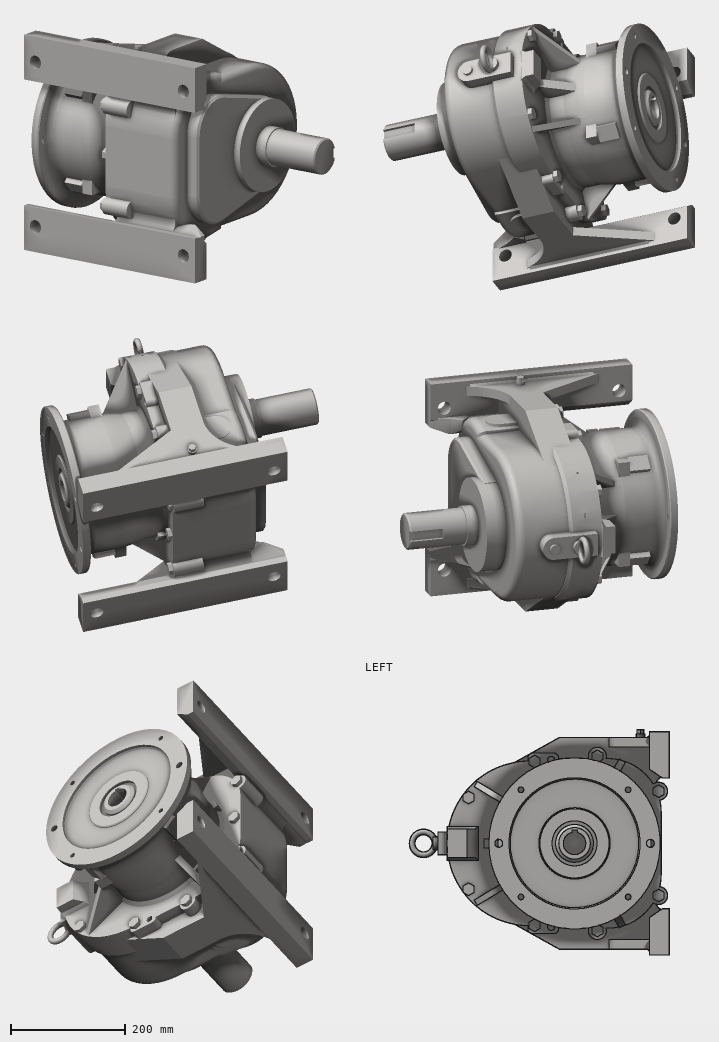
import cadquery as cq
import math


total_length = 480.0
total_height = 454.5
foot_length, foot_height = 369.5, 34.5
foot_inner, foot_outer = 114.0, 195.5
foot_bevel_z, foot_bevel_y = 129.5, 12.0
foot_hole_dia, foot_hole_z = 24.0, 149.5
foot_hole_xs = (24.5, 344.5)

motor_axis_y = 165.5
output_axis_y = 235.0
case_axis_y = 244.5

flange_x0, flange_x1 = 4.5, 18.5
flange_radius, flange_edge = 150.0, 2.0
flange_bolt_radius = 132.5
flange_hole_dia, tapped_hole_dia, tapped_hole_depth = 14.0, 10.0, 11.5
spigot_dia, spigot_floor_x, spigot_edge = 229.5, 12.5, 2.5
seat_dia, seat_x, seat_edge = 125.0, 9.0, 2.0
groove_dia, groove_depth = 78.5, 2.5
input_hub_dia, input_hub_face_dia, input_hub_x = 66.0, 55.0, 6.0
bore_dia, bore_end_x = 39.5, 53.0
drum_radius, drum_x1 = 119.0, 90.5
drum_flare = 14.5
neck_radius, neck_x0, neck_flare = 112.0, 132.0, 6.0
neck_pad_x0, neck_pad_radius = 150.0, 119.5
neck_pad_angles = (19, 63)
drum_pad_x = 76.0

plate_x, rim_x1 = 165.5, 219.5
case_x1, bump_x1 = 319.0, 343.0
rim_radius, rim_edge, case_radius = 144.0, 6.0, 137.0
case_end_fillet = 14.0
sole_y, corner_y, corner_z = 14.0, 108.0, 54.0
corner_radius = corner_y - sole_y
lower_half_width = corner_z + corner_radius
case_shoulder_y = 155.5
side_draft = 9.0
bump_top_y, bump_inset, bump_draft, bump_edge = 256.0, 32.5, 13.5, 4.0

web_x0, web_x1 = 186.0, 246.0
web_half_width, web_shoulder_y = 185.5, 192.0
web_slope = 29.2
web_top_y = 311.0
flare_thickness, flare_top_y = 17.0, 105.5

hex_flats, hex_height = 19.0, 7.5
bolt_boss_radius = 16.0
lower_bolt = (18.5, 91.0)
side_bolt = (126.0, 152.0)
joint_bolt = (235.0, 143.0)
upper_bolt = (351.0, 80.0)
centre_bolt = (24.0, 0.0)

hub_radius, hub_x1 = 83.0, 355.5
collar_dia, collar_x1 = 70.0, 376.0
shaft_dia, shaft_chamfer = 65.0, 2.5
key_x0, key_width, key_depth = 419.0, 18.0, 7.0

saddle_x0, saddle_x1, saddle_top, saddle_half = 179.5, 279.5, 404.5, 20.0
eye_x, eye_wire, eye_collar_dia, eye_collar_top = 213.0, 10.0, 24.0, 413.5
eye_outer_radius = 25.0
plug_x, plug_y, plug_top = 210.0, 50.5, 198.5


def extrude_x(outline, x0, x1):
    """Extrude a YZ outline from x0 to x1."""
    return outline.extrude(x1 - x0).translate((x0, 0, 0))


def rod_x(y, z, radius, x0, x1):
    """Round bar along X."""
    return extrude_x(cq.Workplane("YZ").center(y, z).circle(radius), x0, x1)


def rod_y(x, z, radius, y0, y1):
    """Round bar along Y."""
    return cq.Workplane("XZ", origin=(x, y0, z)).circle(radius).extrude(y0 - y1)


def block(x0, x1, y0, y1, z0, z1):
    """Box between opposite corners."""
    return cq.Workplane("XY").box(x1 - x0, y1 - y0, z1 - z0, centered=False).translate((x0, y0, z0))


def both_sides(body):
    """Body joined with its mirror image across the mid plane."""
    return body.union(body.mirror("XY"))


def hex_x(y, z, x0, x1):
    """Hexagon bolt head along X with corners pointing along Z."""
    across_corners = hex_flats / math.cos(math.radians(30))
    outline = cq.Workplane("YZ").polygon(6, across_corners)
    return extrude_x(outline, x0, x1).rotate((0, 0, 0), (1, 0, 0), 90).translate((0, y, z))


def lower_outline(inset, draft_angle, top_y):
    """Lower casing: flat sole, large round corners and slightly drafted sides."""
    radius = corner_radius - inset
    draft = math.radians(draft_angle)
    side = (corner_y + radius * math.sin(draft), corner_z + radius * math.cos(draft))
    mid_angle = math.radians((draft_angle - 90) / 2)
    mid = (corner_y + radius * math.sin(mid_angle), corner_z + radius * math.cos(mid_angle))
    top_z = side[1] - (top_y - side[0]) * math.tan(draft)
    bottom = corner_y - radius
    return (
        cq.Workplane("YZ")
        .moveTo(bottom, -corner_z)
        .lineTo(bottom, corner_z)
        .threePointArc(mid, side)
        .lineTo(top_y, top_z)
        .lineTo(top_y, -top_z)
        .lineTo(side[0], -side[1])
        .threePointArc((mid[0], -mid[1]), (bottom, -corner_z))
        .close()
    )


def make_feet():
    section = [
        (0, foot_outer), (foot_height, foot_outer), (foot_height, foot_bevel_z),
        (foot_bevel_y, foot_inner), (0, foot_inner),
    ]
    foot = extrude_x(cq.Workplane("YZ").polyline(section).close(), 0, foot_length)
    for x in foot_hole_xs:
        foot = foot.cut(rod_y(x, foot_hole_z, foot_hole_dia / 2, -5, foot_height + 5))
    return both_sides(foot)


def make_webs():
    slope = math.tan(math.radians(web_slope))
    web_top_z = web_half_width - (web_top_y - web_shoulder_y) * slope
    base_y = foot_height - 5
    flare_x0, flare_x1 = 61.0, 304.5
    section = [
        (base_y, 0), (base_y, web_half_width), (web_shoulder_y, web_half_width),
        (web_top_y, web_top_z), (web_top_y, 0),
    ]
    web = extrude_x(cq.Workplane("YZ").polyline(section).close(), web_x0, web_x1)
    flare = (
        cq.Workplane("XY", origin=(0, 0, web_half_width - flare_thickness))
        .moveTo(flare_x0, foot_height)
        .lineTo(web_x0, flare_top_y)
        .lineTo(web_x1, flare_top_y)
        .threePointArc((262.0, 65.0), (295.0, 39.5))
        .lineTo(flare_x1, foot_height)
        .lineTo(flare_x1, base_y)
        .lineTo(flare_x0, base_y)
        .close()
        .extrude(flare_thickness)
    )
    weld_leg, weld_x0, weld_x1 = 4.0, 72.0, 297.5
    weld_profile = [
        (foot_height, web_half_width - 5), (foot_height, web_half_width + weld_leg),
        (foot_height + weld_leg, web_half_width), (foot_height + weld_leg, web_half_width - 5),
    ]
    weld = extrude_x(cq.Workplane("YZ").polyline(weld_profile).close(), weld_x0, weld_x1)
    return both_sides(web.union(flare).union(weld))


def make_foot_wedges():
    """Faceted wedges: the overlap of a plan, a side and a cross-section outline."""
    x0, x1 = 305.0, foot_length
    inside_z = 132.0
    bottom_y, peak_y = 14.0, 58.5
    ridge_y, ridge_z = 45.0, 103.5
    plan = [(x0, inside_z), (x0, 108.0), (339.0, ridge_z), (x1, foot_inner), (x1, inside_z)]
    side = [(x0, bottom_y), (x0, 45.5), (318.5, peak_y), (336.0, ridge_y), (x1, 28.5), (x1, bottom_y)]
    section = [
        (bottom_y, foot_inner + 1.5), (ridge_y, ridge_z), (peak_y, foot_inner),
        (peak_y, inside_z), (17.0, inside_z),
    ]
    wedge = cq.Workplane("XZ").polyline(plan).close().extrude(-peak_y)
    wedge = wedge.intersect(cq.Workplane("XY").polyline(side).close().extrude(foot_outer))
    wedge = wedge.intersect(extrude_x(cq.Workplane("YZ").polyline(section).close(), x0, x1))
    return both_sides(wedge)


def make_foot_coves():
    """Hollow-faced strips that lead from the round casing corners into the feet."""
    start_z, hollow_z, end_x = 90.0, 102.0, 309.5
    start_y = corner_y - math.sqrt(corner_radius**2 - (start_z - corner_z) ** 2)
    cove = (
        cq.Workplane("YZ")
        .moveTo(start_y, start_z)
        .threePointArc((start_y + 3.0, hollow_z), (14.5, foot_inner + 1.5))
        .lineTo(foot_height, foot_bevel_z)
        .lineTo(foot_height + 4.0, foot_bevel_z)
        .lineTo(start_y + 38.5, start_z)
        .close()
    )
    return both_sides(extrude_x(cove, web_x0, end_x))


def make_case():
    barrel = rod_x(case_axis_y, 0, case_radius, plate_x, case_x1)
    barrel = barrel.union(
        block(plate_x, case_x1, case_shoulder_y - 24, case_axis_y, -case_radius, case_radius)
    )
    barrel = barrel.union(extrude_x(lower_outline(0, side_draft, case_shoulder_y), plate_x, case_x1))
    barrel = barrel.faces(">X").edges().fillet(case_end_fillet)

    bump = extrude_x(lower_outline(bump_inset, bump_draft, bump_top_y), case_x1 - 24, bump_x1)
    bump = bump.faces(">X").edges().chamfer(bump_edge)

    rim = rod_x(case_axis_y, 0, rim_radius, plate_x, rim_x1 + rim_edge)
    rim = rim.faces(">X").edges().chamfer(rim_edge)
    rim_lower_top_y = 201.5
    rim_lower = block(plate_x, rim_x1, sole_y, rim_lower_top_y, -lower_half_width, lower_half_width)
    rim_lower = rim_lower.edges("|X and <Y").fillet(corner_radius)
    return barrel.union(bump).union(rim).union(rim_lower)


def make_case_side_pads():
    """Flat round-ended pads on both sides, behind the webs."""
    pad_y, pad_radius, pad_z, pad_end_x = 120.0, 25.5, 149.0, 297.0
    root_z = 96.0
    centre_x = pad_end_x - pad_radius
    pad = block(web_x1 - 5, centre_x, pad_y - pad_radius, pad_y + pad_radius, root_z, pad_z)
    round_end = cq.Workplane("XY", origin=(centre_x, pad_y, root_z)).circle(pad_radius)
    round_end = round_end.extrude(pad_z - root_z)
    return both_sides(pad.union(round_end))


def make_bolt_bosses():
    """Round bosses behind the plate, and a lobe with a jacking hole at the joint bolt."""
    lobe_y0, lobe_y1, lobe_root_z, lobe_z, lobe_round = 193.5, 247.0, 120.0, 158.0, 8.5
    jack_y, jack_z, jack_radius, jack_depth = 206.5, 146.0, 6.0, 13.5
    lobe = block(plate_x, web_x0 + 5, lobe_y0, lobe_y1, lobe_root_z, lobe_z)
    lobe = lobe.edges("|X and >Z").fillet(lobe_round)
    bosses = lobe.cut(rod_x(jack_y, jack_z, jack_radius, plate_x, plate_x + jack_depth))
    for y, z in (lower_bolt, side_bolt):
        bosses = bosses.union(rod_x(y, z, bolt_boss_radius, plate_x, rim_x1))
    return both_sides(bosses)


def make_bolt_heads():
    heads = hex_x(*centre_bolt, plate_x - hex_height, plate_x + 5)
    for y, z in (lower_bolt, side_bolt, joint_bolt, upper_bolt):
        for side in (1, -1):
            heads = heads.union(hex_x(y, side * z, plate_x - hex_height, plate_x + 5))
    return heads


def make_adapter():
    """Turned flange, drum and neck, with four diagonal bosses that end in square pads."""
    bulge = ((drum_x1 + neck_x0) / 2, (drum_radius + neck_radius) / 2 + 1.0)
    flare_mid = drum_flare * (1 - math.sqrt(0.5))
    profile = (
        cq.Workplane("XY")
        .moveTo(flange_x0, 0)
        .lineTo(flange_x0, flange_radius)
        .lineTo(flange_x1 - flange_edge, flange_radius)
        .lineTo(flange_x1, flange_radius - flange_edge)
        .lineTo(flange_x1, drum_radius + drum_flare)
        .threePointArc(
            (flange_x1 + flare_mid, drum_radius + flare_mid), (flange_x1 + drum_flare, drum_radius)
        )
        .lineTo(drum_x1, drum_radius)
        .threePointArc(bulge, (neck_x0, neck_radius))
        .lineTo(plate_x - neck_flare, neck_radius)
        .lineTo(plate_x, neck_radius + neck_flare)
        .lineTo(plate_x + 5, neck_radius + neck_flare)
        .lineTo(plate_x + 5, 0)
        .close()
    )
    body = profile.revolve(360, (0, 0, 0), (1, 0, 0))
    root, pad_x1 = 48.0, 96.5
    boss_x0, boss_half, boss_top, pad_reach = 39.5, 14.0, 128.0, 96.0
    boss = block(boss_x0, drum_pad_x, root, boss_top, -boss_half, boss_half)
    pad = block(drum_pad_x, pad_x1, root, pad_reach, root, pad_reach)
    for quarter in range(4):
        body = body.union(boss.rotate((0, 0, 0), (1, 0, 0), 45 + 90 * quarter))
        body = body.union(pad.rotate((0, 0, 0), (1, 0, 0), 90 * quarter))
    return body.translate((0, motor_axis_y, 0))


def make_neck_pads():
    """Raised ring sectors on the neck, below the motor axis on both sides."""
    start, end = neck_pad_angles
    band = rod_x(0, 0, neck_pad_radius, neck_pad_x0, plate_x)
    reach = 2 * neck_pad_radius
    corners = [(0, 0)]
    for angle in (start, (start + end) / 2, end):
        corners.append((-reach * math.cos(math.radians(angle)), reach * math.sin(math.radians(angle))))
    sector = extrude_x(cq.Workplane("YZ").polyline(corners).close(), neck_pad_x0, plate_x)
    return both_sides(band.intersect(sector)).translate((0, motor_axis_y, 0))


def make_adapter_ribs():
    """Triangular ribs that stiffen the neck: one on top, two pairs at the sides."""
    rib_start_x, rib_root = 103.0, 72.0

    def rib(angle, reach, thickness):
        outline = [
            (rib_start_x, rib_root), (rib_start_x, drum_radius - 5), (plate_x, reach), (plate_x, rib_root),
        ]
        body = cq.Workplane("XY").polyline(outline).close().extrude(thickness / 2, both=True)
        return body.rotate((0, 0, 0), (1, 0, 0), angle)

    ribs = rib(angle=0, reach=158.5, thickness=16.0)
    for side in (1, -1):
        ribs = ribs.union(rib(angle=side * 31, reach=201.5, thickness=10.5))
        ribs = ribs.union(rib(angle=side * 120, reach=167.0, thickness=12.5))
    return ribs.translate((0, motor_axis_y, 0))


def make_flange_hub():
    """Raised seat, ring groove and chamfered input hub with a keyed blind bore, inside the spigot."""
    seat = rod_x(motor_axis_y, 0, seat_dia / 2, seat_x, spigot_floor_x + 5)
    seat = seat.faces("<X").edges().chamfer(seat_edge)
    seat = seat.cut(rod_x(motor_axis_y, 0, groove_dia / 2, seat_x, spigot_floor_x + 5))
    hub = rod_x(motor_axis_y, 0, input_hub_dia / 2, input_hub_x, spigot_floor_x + 5)
    hub = hub.faces("<X").edges().chamfer((input_hub_dia - input_hub_face_dia) / 2)
    return seat.union(hub)


def cut_input_bore(body):
    body = body.cut(rod_x(motor_axis_y, 0, bore_dia / 2, input_hub_x, bore_end_x))
    keyway_half, keyway_top = 5.0, 23.5
    keyway = block(
        input_hub_x, bore_end_x, motor_axis_y - keyway_half, motor_axis_y + keyway_half, 0, keyway_top
    )
    return body.cut(keyway)


def cut_spigot(body):
    spigot = rod_x(motor_axis_y, 0, spigot_dia / 2, flange_x0, spigot_floor_x)
    spigot = spigot.faces(">X").edges().chamfer(spigot_edge)
    groove = rod_x(motor_axis_y, 0, groove_dia / 2, spigot_floor_x, spigot_floor_x + groove_depth)
    return body.cut(spigot).cut(groove)


def cut_flange_holes(body):
    """Two through holes on the mid plane and four blind holes on the diagonals."""
    for angle in range(0, 360, 45):
        if angle in (90, 270):
            continue
        through = angle in (0, 180)
        radius = (flange_hole_dia if through else tapped_hole_dia) / 2
        depth = flange_x1 - flange_x0 if through else tapped_hole_depth
        y = motor_axis_y + flange_bolt_radius * math.cos(math.radians(angle))
        z = flange_bolt_radius * math.sin(math.radians(angle))
        body = body.cut(rod_x(y, z, radius, flange_x0, flange_x0 + depth))
    return body


def make_lug():
    lug_x0, neck_x, root_x = 142.5, 158.5, plate_x + 5
    lug_half, front_half = 30.0, 25.0
    top_y, front_bottom_y, bottom_y = case_axis_y + rim_radius, 353.5, 333.5
    side = [
        (lug_x0, top_y), (lug_x0, front_bottom_y), (plate_x, bottom_y),
        (root_x, bottom_y), (root_x, top_y - 5), (plate_x, top_y),
    ]
    plan = [
        (lug_x0, -front_half), (lug_x0, front_half), (neck_x, front_half), (plate_x, lug_half),
        (root_x, lug_half), (root_x, -lug_half), (plate_x, -lug_half), (neck_x, -front_half),
    ]
    lug = cq.Workplane("XY").polyline(side).close().extrude(lug_half, both=True)
    return lug.intersect(cq.Workplane("XZ").polyline(plan).close().extrude(-total_height))


def make_saddle():
    """Round-ended block on top of the casing, with a low round plug."""
    root_y, plug_radius, plug_height = 336.0, 8.5, 6.0
    end_x = saddle_x1 - saddle_half
    saddle = block(saddle_x0, end_x, root_y, saddle_top, -saddle_half, saddle_half)
    saddle = saddle.union(rod_y(end_x, 0, saddle_half, root_y, saddle_top))
    return saddle.union(rod_y(end_x, 0, plug_radius, saddle_top, saddle_top + plug_height))


def make_eye_bolt():
    ring_radius = eye_outer_radius - eye_wire / 2
    centre_y = total_height - eye_outer_radius
    ring = (
        cq.Workplane("XY", origin=(eye_x, centre_y + ring_radius, 0))
        .circle(eye_wire / 2)
        .revolve(360, (0, -ring_radius, 0), (1, -ring_radius, 0))
    )
    return ring.union(rod_y(eye_x, 0, eye_collar_dia / 2, saddle_top, eye_collar_top))


def make_side_plug():
    washer_root, washer_top = web_half_width - 5, 191.5
    washer_radius, head_dia = 7.5, 14.0
    washer = cq.Workplane("XY", origin=(plug_x, plug_y, washer_root))
    washer = washer.circle(washer_radius).extrude(washer_top - washer_root)
    head = cq.Workplane("XY", origin=(plug_x, plug_y, washer_top)).polygon(6, head_dia)
    return washer.union(head.extrude(plug_top - washer_top))


def cut_nameplate_holes(body):
    """Pair of small blind holes in the upper side of the rim."""
    hole_x, hole_dia, hole_depth = 195.0, 4.0, 5.0
    for y in (335.5, 380.5):
        surface_z = math.sqrt(rim_radius**2 - (y - case_axis_y) ** 2)
        hole = cq.Workplane("XY", origin=(hole_x, y, surface_z - hole_depth))
        body = body.cut(hole.circle(hole_dia / 2).extrude(2 * hole_depth))
    return body


def make_output():
    output = rod_x(output_axis_y, 0, hub_radius, case_x1 - 5, hub_x1)
    output = output.union(rod_x(output_axis_y, 0, collar_dia / 2, hub_x1, collar_x1))
    shaft = rod_x(output_axis_y, 0, shaft_dia / 2, collar_x1, total_length)
    shaft = shaft.faces(">X").edges().chamfer(shaft_chamfer)
    key_top = output_axis_y + shaft_dia / 2
    keyway = block(key_x0, total_length, key_top - key_depth, key_top, -key_width / 2, key_width / 2)
    return output.union(shaft.cut(keyway))


result = make_case()
for feature in (
    make_webs(), make_feet(), make_foot_wedges(), make_foot_coves(),
    make_case_side_pads(), make_bolt_bosses(), make_bolt_heads(),
    make_adapter(), make_neck_pads(), make_adapter_ribs(),
    make_lug(), make_saddle(), make_eye_bolt(), make_side_plug(), make_output(),
):
    result = result.union(feature)
result = cut_spigot(result)
result = cut_input_bore(result.union(make_flange_hub()))
result = cut_flange_holes(result)
result = cut_nameplate_holes(result)